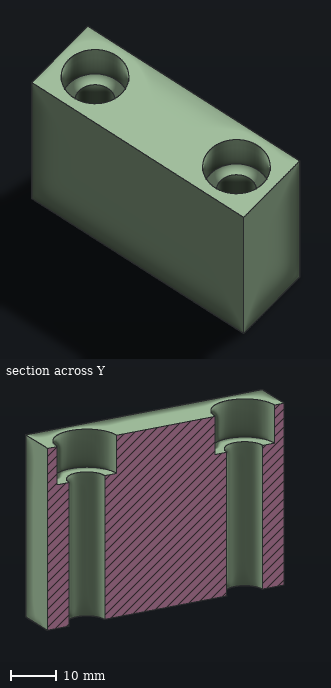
import cadquery as cq

length = 60.0
width = 20.0
height = 43.0

hole_spacing = 40.0
hole_diameter = 9.0
counterbore_diameter = 15.0
counterbore_depth = 9.0

block = cq.Workplane("XY").box(length, width, height)

result = (
    block.faces(">Z")
    .workplane()
    .rarray(hole_spacing, 0.6, 2, 1)
    .cboreHole(hole_diameter, counterbore_diameter, counterbore_depth)
)